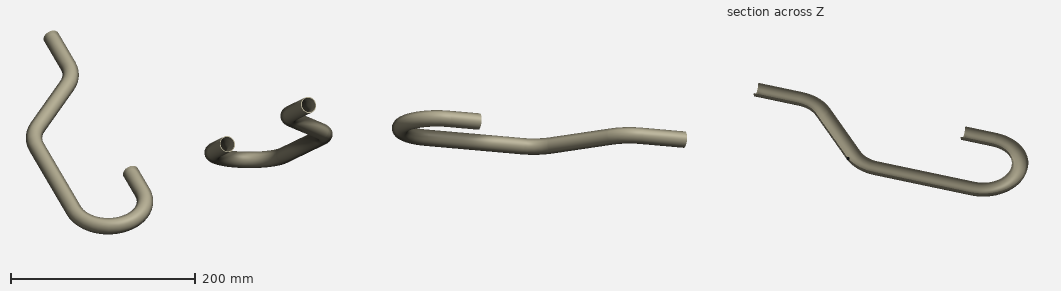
import cadquery as cq
import math

overall_length = 319.0
overall_width = 98.0
outer_diameter = 18.0
inner_diameter = 16.0
entry_length = 50.0
hook_tail_length = 35.0
offset_angle = math.radians(47)

offset = overall_width - outer_diameter
bend_radius = offset / 2
bend_run = bend_radius * math.sin(offset_angle)
bend_drop = bend_radius * (1 - math.cos(offset_angle))
diagonal_run = (offset - 2 * bend_drop) / math.tan(offset_angle)

first_bend_end = entry_length + bend_run
second_bend_start = first_bend_end + diagonal_run
second_bend_end = second_bend_start + bend_run
hook_start = overall_length - outer_diameter / 2 - bend_radius

centreline = (
    cq.Workplane("XY")
    .lineTo(entry_length, 0)
    .tangentArcPoint((first_bend_end, -bend_drop), relative=False)
    .lineTo(second_bend_start, bend_drop - offset)
    .tangentArcPoint((second_bend_end, -offset), relative=False)
    .lineTo(hook_start, -offset)
    .tangentArcPoint((hook_start, 0), relative=False)
    .lineTo(hook_start - hook_tail_length, 0)
)

result = (
    cq.Workplane("YZ")
    .circle(outer_diameter / 2)
    .circle(inner_diameter / 2)
    .sweep(centreline)
)